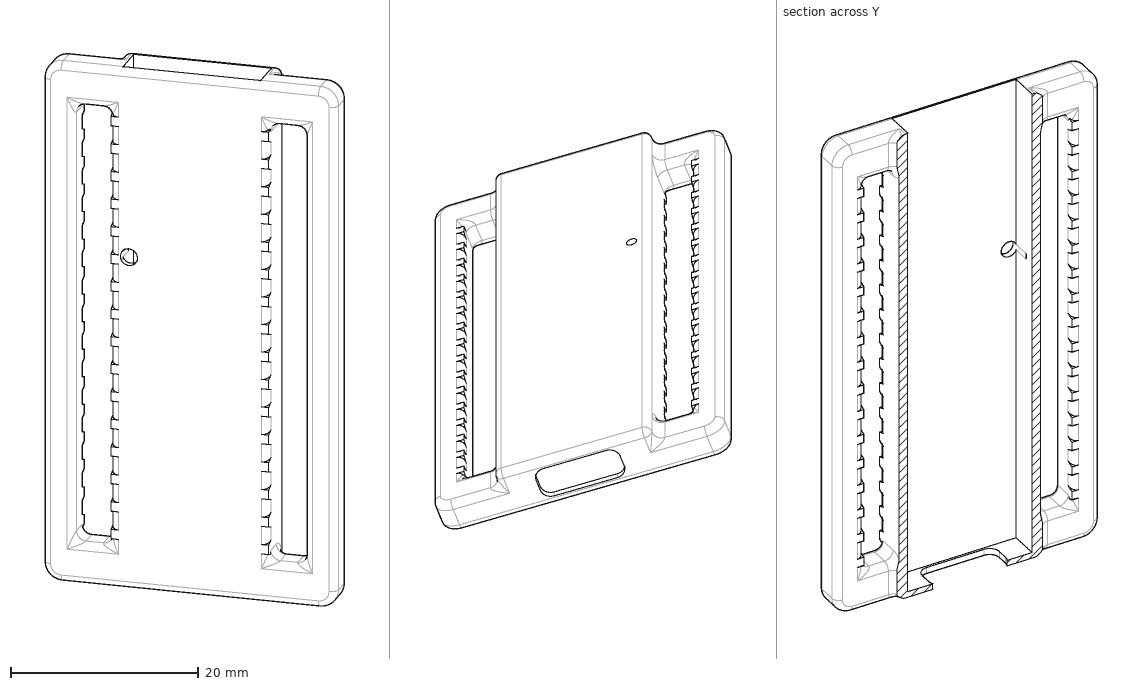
import cadquery as cq
LENGTH = 59.0
PLATE_WIDTH = 32.7
PLATE_THICKNESS = 3.7
TOTAL_DEPTH = 5.7
RAISED_HALF_WIDTH = 8.8
ROOT_RADIUS = 1.05
CORNER_RADIUS = 2.0
EDGE_RADIUS = 0.8

WALL = 0.75
BACK_WALL = 0.95
CAVITY_WIDTH = 15.35
PORT_WIDTH = 9.5
PORT_DEPTH = 3.65
PORT_CORNER_RADIUS = 1.2

SLOT_INNER_X = RAISED_HALF_WIDTH
SLOT_OUTER_X = 12.85
SLOT_LENGTH = 49.7
TOOTH_COUNT = 16
TOOTH_PITCH = 3.1
TOOTH_WIDTH = 1.05
TOOTH_FLARE = 0.3

HOLE_X = -6.8
HOLE_Z = 8.2
FRONT_HOLE_DIAMETER = 1.9
BACK_HOLE_DIAMETER = 1.1

HALF_LENGTH = LENGTH / 2
TOLERANCE = 0.005


def block(x_limits, y_limits, z_limits):
    """Axis-aligned block between the given pairs of limits."""
    corner = (x_limits[0], y_limits[0], z_limits[0])
    size = [high - low for low, high in (x_limits, y_limits, z_limits)]
    return cq.Workplane().box(*size, centered=False).translate(corner)


def pick_edges(body, wanted):
    """Edges of the body for which wanted(edge) holds."""
    return body.newObject([edge for edge in body.edges().vals() if wanted(edge)])


def is_at(value, target):
    return abs(value - target) < TOLERANCE


def is_root(edge):
    """True on the straight inner corner between the plate's back and the raised centre."""
    centre = edge.Center()
    return is_at(abs(centre.x), RAISED_HALF_WIDTH) and is_at(centre.y, PLATE_THICKNESS)


def is_slot_corner(edge):
    """True on the straight corners of the slots that run along Y."""
    centre = edge.Center()
    in_slot_wall = is_at(abs(centre.x), SLOT_INNER_X) or is_at(abs(centre.x), SLOT_OUTER_X)
    return edge.geomType() == "LINE" and in_slot_wall and is_at(abs(centre.z), SLOT_LENGTH / 2)


def is_plate_corner(edge):
    """True on the straight ends of the plate's rounded corners."""
    box = edge.BoundingBox()
    return is_at(box.ymax - box.ymin, PLATE_THICKNESS)


def make_slotted_shell():
    """Plate with a raised centre along its back and a strap slot on each side of it."""
    half_width = PLATE_WIDTH / 2
    half_slot = SLOT_LENGTH / 2
    full_z = (-HALF_LENGTH, HALF_LENGTH)
    plate = block((-half_width, half_width), (0, PLATE_THICKNESS), full_z)
    plate = plate.edges("|Y").fillet(CORNER_RADIUS)
    raised = block((-RAISED_HALF_WIDTH, RAISED_HALF_WIDTH), (0, TOTAL_DEPTH), full_z)
    shell = plate.union(raised)
    for slot_x in ((-SLOT_OUTER_X, -SLOT_INNER_X), (SLOT_INNER_X, SLOT_OUTER_X)):
        shell = shell.cut(block(slot_x, (0, TOTAL_DEPTH), (-half_slot, half_slot)))
    return shell


def round_outer_edges(shell):
    """Round every outward edge, the slot rims included."""
    def is_outward(edge):
        return not (is_root(edge) or is_slot_corner(edge) or is_plate_corner(edge))

    return pick_edges(shell, is_outward).fillet(EDGE_RADIUS)


def round_inner_corners(shell):
    """Round the inner corners of the slots, then blend the raised centre into the plate."""
    return pick_edges(shell, lambda edge: is_root(edge) or is_slot_corner(edge)).fillet(ROOT_RADIUS)


def make_tooth():
    """One tooth that squares off a rounded rim and widens from the face inwards.

    The slot wall lies on X = 0, the face on Y = 0, and the tooth is centred on Z = 0.
    """
    half_tip = TOOTH_WIDTH / 2
    half_base = half_tip + TOOTH_FLARE
    outline = [
        (0, -half_tip),
        (0, half_tip),
        (EDGE_RADIUS, half_base),
        (EDGE_RADIUS, -half_base),
    ]
    return cq.Workplane("YZ").polyline(outline).close().extrude(-EDGE_RADIUS)


def add_teeth(shell):
    """Rows of teeth on the rims: inner rims at the front, outer rims at the back."""
    tooth = make_tooth()
    front_tooth = tooth.translate((SLOT_INNER_X, 0, 0))
    back_tooth = tooth.rotate((0, 0, 0), (0, 0, 1), 180).translate((SLOT_OUTER_X, PLATE_THICKNESS, 0))
    teeth = []
    for index in range(TOOTH_COUNT):
        height = (index - (TOOTH_COUNT - 1) / 2) * TOOTH_PITCH
        for rim_tooth in (front_tooth, back_tooth):
            placed = rim_tooth.translate((0, 0, height))
            teeth += [placed.val(), placed.mirror("YZ").val()]
    return shell.newObject([shell.val().fuse(*teeth).clean()])


def cut_cavity(shell):
    """Cavity open at the top, with a rounded port through the bottom wall."""
    cavity_x = (-CAVITY_WIDTH / 2, CAVITY_WIDTH / 2)
    cavity_y = (WALL, TOTAL_DEPTH - BACK_WALL)
    shell = shell.cut(block(cavity_x, cavity_y, (-HALF_LENGTH + WALL, HALF_LENGTH)))
    port_x = (-PORT_WIDTH / 2, PORT_WIDTH / 2)
    port_y = ((TOTAL_DEPTH - PORT_DEPTH) / 2, (TOTAL_DEPTH + PORT_DEPTH) / 2)
    port = block(port_x, port_y, (-HALF_LENGTH, 0))
    return shell.cut(port.edges("|Z").fillet(PORT_CORNER_RADIUS))


def cut_holes(shell):
    """Wide hole through the front wall, in line with a narrow one through the back wall."""
    plane = cq.Workplane("XZ", origin=(HOLE_X, 0, HOLE_Z))
    front_hole = plane.circle(FRONT_HOLE_DIAMETER / 2).extrude(-TOTAL_DEPTH / 2)
    back_hole = plane.circle(BACK_HOLE_DIAMETER / 2).extrude(-TOTAL_DEPTH)
    return shell.cut(front_hole).cut(back_hole)


def make_case():
    case = round_outer_edges(make_slotted_shell())
    case = round_inner_corners(case)
    case = add_teeth(case)
    return cut_holes(cut_cavity(case))


case = make_case()
result = cq.Compound.makeCompound([case.val()])